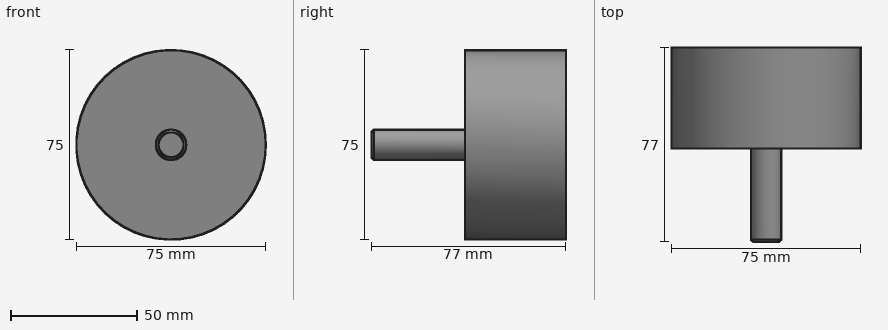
import cadquery as cq

total_length = 77.0
body_diameter = 75.0
body_length = 40.05
stud_diameter = 12.0
stud_chamfer = 1.1
stud_length = total_length - body_length


def cylinder_along_y(diameter, length):
    """Cylinder starting at Y = 0 and running toward +Y."""
    return cq.Workplane("XZ").circle(diameter / 2).extrude(-length)


body = cylinder_along_y(body_diameter, body_length)

stud = (
    cylinder_along_y(stud_diameter, stud_length)
    .translate((0, -stud_length, 0))
    .faces("<Y")
    .chamfer(stud_chamfer)
)

result = body.union(stud)